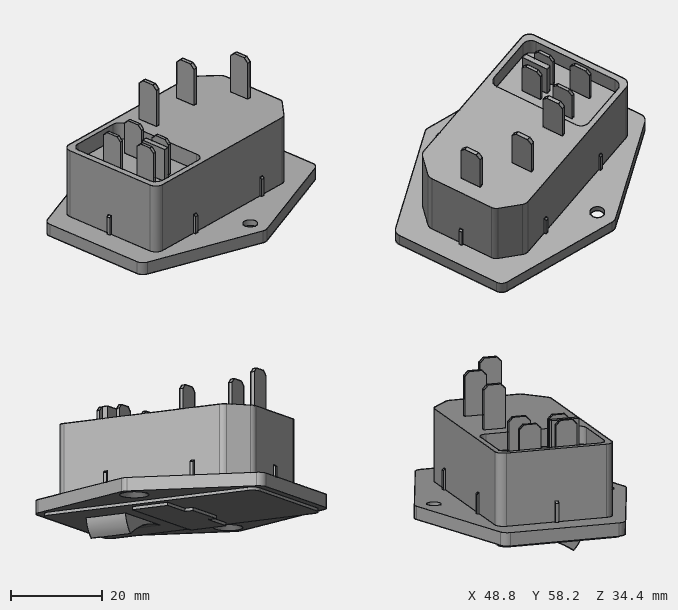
import cadquery as cq

flange_thickness = 3.0
body_rise = 16.5
body_top = flange_thickness + body_rise
bezel_thickness = 0.7
bezel_bottom = -bezel_thickness
overlap = 0.2

flange_length = 58.2
flange_end_width = 28.0
flange_point_x = 24.55
corner_radius = 2.0
screw_pitch = 40.0
screw_hole_diameter = 3.2
countersink_diameter = 6.4
countersink_angle = 90

body_width = 27.1
body_length = 47.3
body_corner_cut = 5.0

rib_width = 0.8
rib_projection = 0.5
rib_height = 4.7
rib_tip_bevel = 0.4
side_rib_y = 11.0

switch_y = -14.4
pocket_width = 24.5
pocket_length = 15.6
pocket_depth = 4.0

blade_bevel = 1.0
blade_width = 5.0
inlet_blade_thickness = 0.9
inlet_blade_height = 10.0
earth_blade_y = 19.6
line_blade_x = -7.0
line_blade_ys = (9.8, -2.65)
switch_blade_thickness = 0.7
switch_blade_height = 4.5
outer_blade_x = -4.15
outer_blade_offset = 3.5
inner_blade_x = 4.6
inner_blade_width = 4.8
inner_blade_offset = 2.5

barrier_x = 5.1
barrier_width = 6.4
barrier_thickness = 1.2
barrier_height = 4.0

bezel_width = 28.2
bezel_length = 54.5
drawer_width = 24.8
drawer_front_y = -5.0
drawer_back_y = 3.95
drawer_thickness = 0.7
drawer_tab_width = 10.0
drawer_tab_length = 2.0

rocker_length = 10.0
rocker_y = -14.7
rocker_left_x = -7.3
rocker_right_x = 7.5
rocker_tip_x = 5.35
rocker_tip_z = -4.88
rocker_face_sagitta = 1.0
rocker_end_sagitta = 0.4


def box(width, length, height, x, y, z):
    """Block centred on (x, y) with its underside at z."""
    return cq.Workplane("XY", origin=(x, y, z)).box(width, length, height, centered=(True, True, False))


def make_flange():
    half_end = flange_end_width / 2
    half_length = flange_length / 2
    outline = [
        (half_end, half_length),
        (flange_point_x, 0),
        (half_end, -half_length),
        (-half_end, -half_length),
        (-flange_point_x, 0),
        (-half_end, half_length),
    ]
    plate = cq.Workplane("XY").polyline(outline).close().extrude(flange_thickness)
    plate = plate.edges("|Z").fillet(corner_radius)
    screw_centres = [(-screw_pitch / 2, 0), (screw_pitch / 2, 0)]
    underside = plate.faces("<Z").workplane().pushPoints(screw_centres)
    return underside.cskHole(screw_hole_diameter, countersink_diameter, countersink_angle)


def make_body():
    body = box(body_width, body_length, body_top, 0, 0, 0)
    body = body.edges("|Z and >Y").chamfer(body_corner_cut)
    body = body.edges("|Z").fillet(corner_radius)
    pocket = box(pocket_width, pocket_length, pocket_depth, 0, switch_y, body_top - pocket_depth)
    return body.cut(pocket.edges("|Z").fillet(corner_radius))


def make_rib(wall_distance, along, angle):
    """Rib on the wall at wall_distance from the Z axis, shifted along that wall, then turned about it."""
    depth = rib_projection + overlap
    centre = wall_distance - overlap + depth / 2
    rib = box(depth, rib_width, rib_height + overlap, centre, along, flange_thickness - overlap)
    rib = rib.edges(">X and >Z").chamfer(rib_tip_bevel)
    return rib.rotate((0, 0, 0), (0, 0, 1), angle)


def make_ribs():
    ribs = []
    for angle in (0, 180):
        for along in (-side_rib_y, side_rib_y):
            ribs.append(make_rib(body_width / 2, along, angle))
        ribs.append(make_rib(body_length / 2, 0, angle + 90))
    return ribs


def make_blade(x, y, width, thickness, base_z, height_above_body):
    """Flat terminal with two bevelled top corners."""
    height = body_top + height_above_body - base_z
    blade = box(width, thickness, height + overlap, x, y, base_z - overlap)
    return blade.edges("|Y and >Z").chamfer(blade_bevel)


def make_inlet_blades():
    centres = [(0, earth_blade_y)]
    for y in line_blade_ys:
        centres.append((line_blade_x, y))
    blades = []
    for x, y in centres:
        blades.append(make_blade(x, y, blade_width, inlet_blade_thickness, body_top, inlet_blade_height))
    return blades


def make_switch_terminals():
    floor = body_top - pocket_depth
    columns = [
        (outer_blade_x, blade_width, outer_blade_offset),
        (inner_blade_x, inner_blade_width, inner_blade_offset),
    ]
    terminals = []
    for x, width, offset in columns:
        for y in (switch_y - offset, switch_y + offset):
            terminals.append(make_blade(x, y, width, switch_blade_thickness, floor, switch_blade_height))
    height = pocket_depth + barrier_height + overlap
    terminals.append(box(barrier_width, barrier_thickness, height, barrier_x, switch_y, floor - overlap))
    return terminals


def make_bezel():
    bezel = box(bezel_width, bezel_length, bezel_thickness + overlap, 0, 0, bezel_bottom)
    return bezel.edges("|Z").fillet(corner_radius)


def make_fuse_drawer():
    """Raised drawer front with a narrower finger tab on its +Y edge."""
    length = drawer_back_y - drawer_front_y
    middle_y = (drawer_back_y + drawer_front_y) / 2
    bottom = bezel_bottom - drawer_thickness
    drawer = box(drawer_width, length, drawer_thickness + overlap, 0, middle_y, bottom)
    tab_length = drawer_tab_length + overlap
    tab_y = drawer_back_y - overlap + tab_length / 2
    tab = box(drawer_tab_width, tab_length, drawer_thickness + overlap, 0, tab_y, bottom)
    return drawer.union(tab)


def make_rocker():
    root_z = bezel_bottom + overlap
    profile = (
        cq.Workplane("XZ", origin=(0, rocker_y + rocker_length / 2, 0))
        .moveTo(rocker_left_x, root_z)
        .lineTo(rocker_left_x, bezel_bottom)
        .sagittaArc((rocker_tip_x, rocker_tip_z), rocker_face_sagitta)
        .sagittaArc((rocker_right_x, bezel_bottom), -rocker_end_sagitta)
        .lineTo(rocker_right_x, root_z)
        .close()
    )
    return profile.extrude(rocker_length)


result = make_flange().union(make_body())
details = [make_bezel(), make_fuse_drawer(), make_rocker()]
details += make_ribs() + make_inlet_blades() + make_switch_terminals()
for detail in details:
    result = result.union(detail)